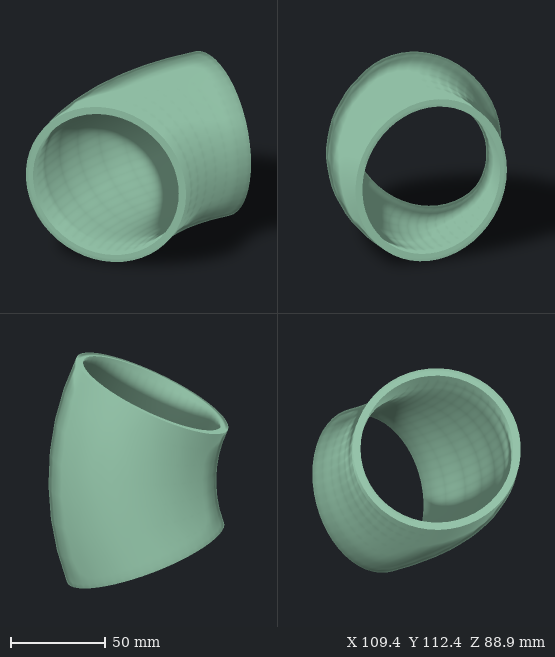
import cadquery as cq
import math

outer_extent = 112.4
outer_diameter = 88.9
wall = 4.0
bend_angle = 45.0

outer_radius = outer_diameter / 2
inner_radius = outer_radius - wall
bend_radius = outer_extent / math.sin(math.radians(bend_angle)) - outer_radius


def bent_pipe():
    """Sweep the pipe ring about a vertical axis at X = bend_radius, starting in the XZ plane."""
    ring = cq.Workplane("XZ").circle(outer_radius).circle(inner_radius)
    return ring.revolve(bend_angle, (bend_radius, 0), (bend_radius, -1))


result = bent_pipe()